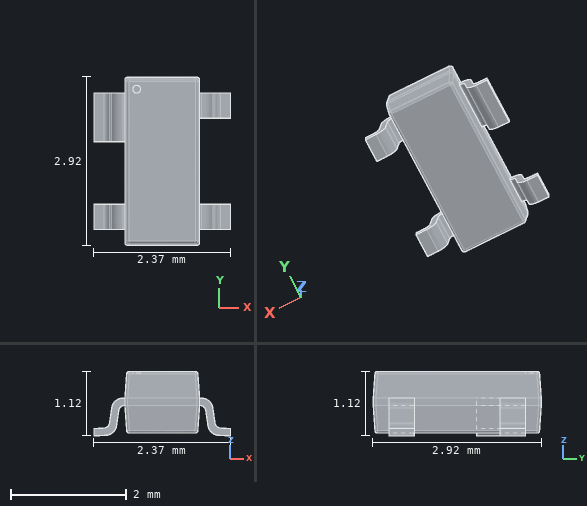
import cadquery as cq
import math

body_width = 1.3
body_length = 2.92
body_bottom = 0.05
body_top = 1.12
draft_angle = math.radians(4.0)
corner_radius = 0.05
rim_radius = 0.047

lead_thickness = 0.13
lead_top = 0.66
lead_bottom = lead_top - lead_thickness
lead_span = 2.37
foot_slope = math.radians(3.0)
leg_lean = math.radians(8.3)
leg_outer_x = -0.894
leg_height = 0.388
inner_bend_radius = 0.1
outer_bend_radius = 2 * inner_bend_radius
narrow_lead_width = 0.44
wide_lead_width = 0.85
lead_row_end = 1.185

marker_radius = 0.067
marker_depth = 0.03
marker_x = -0.445
marker_y = 1.25


def make_marker():
    return (
        cq.Workplane("XY", origin=(marker_x, marker_y, body_top - marker_depth))
        .circle(marker_radius)
        .extrude(marker_depth)
    )


def rounded_outline(inset):
    """Plan outline of the housing, set in on every side, with rounded corners."""
    return (
        cq.Sketch()
        .rect(body_width - 2 * inset, body_length - 2 * inset)
        .vertices()
        .fillet(corner_radius)
    )


def drafted_block(base_z, end_z):
    """Block that narrows from the band outline at base_z to its flat end at end_z."""
    inset = abs(end_z - base_z) * math.tan(draft_angle)
    return (
        cq.Workplane("XY", origin=(0, 0, base_z))
        .placeSketch(
            rounded_outline(0),
            rounded_outline(inset).moved(cq.Location(cq.Vector(0, 0, end_z - base_z))),
        )
        .loft(ruled=True)
    )


def make_housing():
    band = (
        cq.Workplane("XY", origin=(0, 0, lead_bottom))
        .placeSketch(rounded_outline(0))
        .extrude(lead_thickness)
    )
    upper = drafted_block(lead_top, body_top).faces(">Z").edges().fillet(rim_radius)
    lower = drafted_block(lead_bottom, body_bottom).faces("<Z").edges().fillet(rim_radius)
    return band.union(upper).union(lower).cut(make_marker())


def leg_x(z, offset):
    """X on the left leg at height z, at a distance offset behind its outer face."""
    return leg_outer_x + offset / math.cos(leg_lean) + (z - leg_height) * math.tan(leg_lean)


def foot_corner(height, offset):
    """Corner where a foot surface, at a given height at the tip, meets a leg surface."""
    slope = math.tan(foot_slope)
    tip_to_leg = leg_x(height, offset) + lead_span / 2
    x = -lead_span / 2 + tip_to_leg / (1 - slope * math.tan(leg_lean))
    return (x, height + slope * (x + lead_span / 2))


def make_left_lead(width):
    """Lead centred on Y = 0, from its foot tip to the side of the housing."""
    tip_x = -lead_span / 2
    side_x = -body_width / 2
    tip_height = lead_thickness / math.cos(foot_slope)

    foot_heel = foot_corner(0, lead_thickness)
    foot_crease = foot_corner(tip_height, 0)
    shoulder_crease = (leg_x(lead_bottom, lead_thickness), lead_bottom)
    shoulder_crown = (leg_x(lead_top, 0), lead_top)

    strip = (
        cq.Workplane("XZ")
        .polyline([
            (tip_x, 0),
            foot_heel,
            shoulder_crease,
            (side_x, lead_bottom),
            (side_x, lead_top),
            shoulder_crown,
            foot_crease,
            (tip_x, tip_height),
        ])
        .close()
        .extrude(width / 2, both=True)
    )
    bends = [
        (foot_heel, outer_bend_radius),
        (foot_crease, inner_bend_radius),
        (shoulder_crease, inner_bend_radius),
        (shoulder_crown, outer_bend_radius),
    ]
    for (x, z), radius in bends:
        corner = cq.selectors.NearestToPointSelector((x, 0, z))
        strip = strip.edges("|Y").edges(corner).fillet(radius)
    return strip


def make_lead(on_right, width, center_y):
    lead = make_left_lead(width)
    if on_right:
        lead = lead.mirror("YZ")
    return lead.translate((0, center_y, 0))


narrow_lead_y = lead_row_end - narrow_lead_width / 2
wide_lead_y = lead_row_end - wide_lead_width / 2
lead_layout = [
    (False, wide_lead_width, wide_lead_y),
    (False, narrow_lead_width, -narrow_lead_y),
    (True, narrow_lead_width, narrow_lead_y),
    (True, narrow_lead_width, -narrow_lead_y),
]

housing = make_housing()
marker = make_marker()
leads = [make_lead(on_right, width, center_y) for on_right, width, center_y in lead_layout]

result = cq.Compound.makeCompound(
    [housing.val(), marker.val(), *[lead.val() for lead in leads]]
)